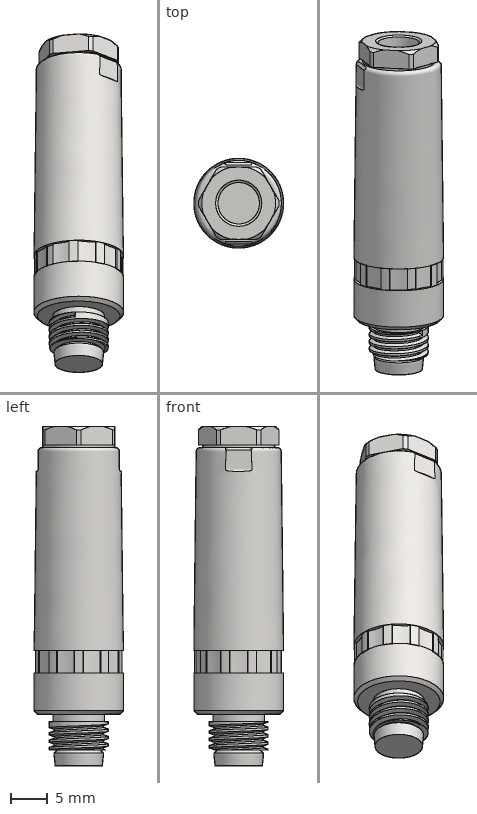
import cadquery as cq
import math

nose_top = 1.75
thread_bottom = 2.15
thread_top = 6.03
nut_bottom = 7.0
nut_top = 12.6
body_bottom = 15.65
body_top = 43.15
hex_bottom = 43.45
total_height = 46.0

nose_tip_diameter = 6.45
nose_diameter = 6.7
nose_rim_height = 0.3
relief_diameter = 5.8
neck_diameter = 7.0
thread_diameter = 8.0
thread_root_diameter = 6.7
thread_pitch = 1.0
thread_turns = 4.1
groove_start = 1.6
groove_root_width = 0.25
groove_mouth_width = 0.7
groove_cutter_overrun = 0.15

outer_diameter = 12.2
nut_chamfer = 0.5
tooth_diameter = 12.0
scoop_middle_diameter = 11.2
scoop_edge_diameter = 11.65
scoop_count = 10
scoop_width_angle = 24
ring_cutter_diameter = 14.25

body_top_diameter = 11.55
body_edge_radius = 0.55
pocket_floor_offset = 5.5
pocket_width = 3.75
pocket_bottom = 39.95
pocket_bottom_radius = 0.28
pocket_floor_top = 42.8
pocket_lip_run = 0.35

hex_across_flats = 9.8
hex_top_diameter = 10.0
hex_corner_diameter = 10.95
hex_chamfer = 0.45
bore_diameter = 5.6
bore_mouth_diameter = 6.25
bore_mouth_depth = 0.2
bore_depth = 2.5


def cylinder(diameter, bottom, top):
    """Solid cylinder on the Z axis between two heights."""
    return cq.Workplane("XY").workplane(offset=bottom).circle(diameter / 2).extrude(top - bottom)


def turned(profile):
    """Revolve a half profile, open along the Z axis, into a full solid."""
    return profile.close().revolve(360, (0, 0, 0), (0, 1, 0))


def make_nose():
    """Slightly tapered plug tip with a conical relief below the thread."""
    profile = (
        cq.Workplane("XZ")
        .lineTo(nose_tip_diameter / 2, 0)
        .lineTo(nose_diameter / 2, nose_top - nose_rim_height)
        .lineTo(nose_diameter / 2, nose_top)
        .lineTo(relief_diameter / 2, thread_bottom)
        .lineTo(0, thread_bottom)
    )
    return turned(profile)


def make_thread():
    """Cylinder with a right-hand trapezoidal groove that runs out below its top rim."""
    helix_height = thread_turns * thread_pitch
    root = thread_root_diameter / 2
    mouth = thread_diameter / 2
    flank_slope = (groove_mouth_width - groove_root_width) / 2 / (mouth - root)
    outer = mouth + groove_cutter_overrun
    outer_half_width = groove_mouth_width / 2 + flank_slope * groove_cutter_overrun
    base = cq.Location(cq.Vector(0, 0, groove_start))
    helix = cq.Wire.makeHelix(thread_pitch, helix_height, root).moved(base)
    groove = (
        cq.Workplane("XZ")
        .moveTo(root, groove_start - groove_root_width / 2)
        .lineTo(outer, groove_start - outer_half_width)
        .lineTo(outer, groove_start + outer_half_width)
        .lineTo(root, groove_start + groove_root_width / 2)
        .close()
        .sweep(cq.Workplane(obj=helix), isFrenet=True)
    )
    return cylinder(thread_diameter, thread_bottom, thread_top).cut(groove)


def make_nut():
    """Coupling nut with a chamfered lower edge."""
    return cylinder(outer_diameter, nut_bottom, nut_top).faces("<Z").edges().chamfer(nut_chamfer)


def polar(diameter, angle):
    """Point on a circle around the origin, at an angle in degrees from +X."""
    turn = math.radians(angle)
    return (diameter / 2 * math.cos(turn), diameter / 2 * math.sin(turn))


def ring_cutter(edge_diameter, half_angle):
    """Sector on the +X axis with an arc as its inner side, reaching out past the teeth."""
    return (
        cq.Workplane("XY")
        .workplane(offset=nut_top)
        .moveTo(*polar(edge_diameter, -half_angle))
        .threePointArc(polar(scoop_middle_diameter, 0), polar(edge_diameter, half_angle))
        .lineTo(*polar(ring_cutter_diameter, half_angle))
        .lineTo(*polar(ring_cutter_diameter, -half_angle))
        .close()
        .extrude(body_bottom - nut_top)
    )


def make_toothed_ring():
    """Ring with concave scoops between its teeth; the tooth on the +X axis is missing."""
    scoop_pitch_angle = 360 / scoop_count
    scoop = ring_cutter(scoop_edge_diameter, scoop_width_angle / 2)
    missing_tooth = ring_cutter(scoop_middle_diameter, (scoop_pitch_angle - scoop_width_angle) / 2)
    ring = cylinder(tooth_diameter, nut_top, body_bottom).cut(missing_tooth)
    for index in range(scoop_count):
        angle = (index + 0.5) * scoop_pitch_angle
        ring = ring.cut(scoop.rotate((0, 0, 0), (0, 0, 1), angle))
    return ring


def make_body():
    """Slightly tapered barrel with a rounded top edge."""
    profile = (
        cq.Workplane("XZ")
        .moveTo(0, body_bottom)
        .lineTo(outer_diameter / 2, body_bottom)
        .lineTo(body_top_diameter / 2, body_top)
        .lineTo(0, body_top)
    )
    return turned(profile).faces(">Z").edges().fillet(body_edge_radius)


def make_pocket():
    """Cutter for the front pocket: flat floor, hollow lower corner and a bevelled upper lip."""
    floor = -pocket_floor_offset
    open_side = -outer_diameter / 2
    return (
        cq.Workplane("YZ")
        .moveTo(open_side, pocket_bottom)
        .lineTo(floor - pocket_bottom_radius, pocket_bottom)
        .radiusArc((floor, pocket_bottom + pocket_bottom_radius), -pocket_bottom_radius)
        .lineTo(floor, pocket_floor_top)
        .lineTo(floor + pocket_lip_run, body_top)
        .lineTo(open_side, body_top)
        .close()
        .extrude(pocket_width / 2, both=True)
    )


def make_hexagon():
    """Hexagon with cylindrical corners and a chamfered top, standing on a short round neck."""
    across_corners = hex_across_flats / math.cos(math.pi / 6)
    prism = (
        cq.Workplane("XY")
        .workplane(offset=hex_bottom)
        .polygon(6, across_corners)
        .extrude(total_height - hex_bottom)
    )
    corners = (
        cylinder(hex_corner_diameter, hex_bottom, total_height)
        .faces(">Z")
        .edges()
        .chamfer(hex_chamfer, (hex_corner_diameter - hex_top_diameter) / 2)
    )
    neck = cylinder(hex_across_flats, body_top, hex_bottom)
    return prism.intersect(corners).union(neck)


def make_bore():
    """Cutter for the blind cable bore with its chamfered mouth."""
    bore_bottom = total_height - bore_depth
    profile = (
        cq.Workplane("XZ")
        .moveTo(0, bore_bottom)
        .lineTo(bore_diameter / 2, bore_bottom)
        .lineTo(bore_diameter / 2, total_height - bore_mouth_depth)
        .lineTo(bore_mouth_diameter / 2, total_height)
        .lineTo(0, total_height)
    )
    return turned(profile)


pocket = make_pocket()
body = make_body().cut(pocket).cut(pocket.rotate((0, 0, 0), (0, 0, 1), 180))

result = (
    make_nose()
    .union(make_thread())
    .union(cylinder(neck_diameter, thread_top, nut_bottom))
    .union(make_nut())
    .union(make_toothed_ring())
    .union(body)
    .union(make_hexagon())
    .cut(make_bore())
)